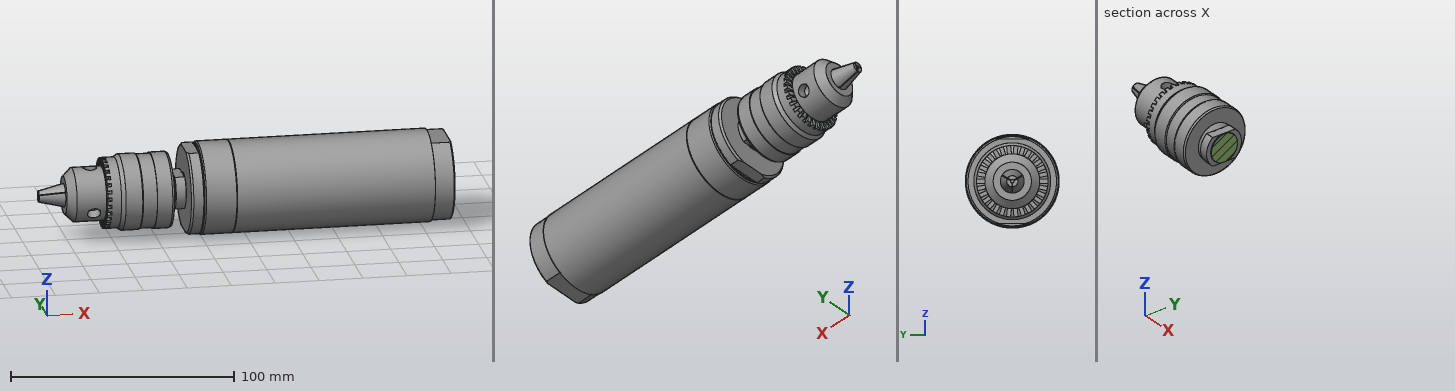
import cadquery as cq
import math

LENGTH = 186.0
NOSE_X = 11.5
NOSE_CHAMFER_END = 15.5
TEETH_X = 28.8
RIM_END = 35.0
FRONT_BAND_X = 36.8
FRONT_BAND_END = 44.8
REAR_BAND_X = 51.2
CHUCK_END = 59.0
COLLAR_X = 61.0
COLLAR_END = 65.5
FLANGE_X = 66.0
GROOVE_X = 71.6
BODY_X = 72.2
SEAM_X = 86.7
CAP_X = 176.9

TIP_DIA = 5.0
JAW_BASE_DIA = 10.6
NOSE_FACE_DIA = 17.1
NOSE_DIA = 24.5
RIM_DIA = 32.0
BAND_DIA = 34.5
WAIST_DIA = 33.5
BOSS_DIA = 19.0
NECK_DIA = 14.9
COLLAR_DIA = 19.5
FLANGE_DIA = 41.5
BODY_DIA = 42.0
CAP_DIA = 41.5

BAND_CHAMFER = (BAND_DIA - WAIST_DIA) / 2
CHUCK_REAR_CHAMFER = 1.0
FLANGE_CHAMFER = 1.0
END_CHAMFER = 0.5
GROOVE_DEPTH = 0.7
SEAM_WIDTH = 0.4
SEAM_DEPTH = 0.2

COLLAR_FLATS = 14.9
FLANGE_FLATS = 38.0
CAP_FLATS = 36.0

JAW_COUNT = 3
JAW_BORE_DIA = 1.5
JAW_BORE_DEPTH = NOSE_X
SPLIT_WIDTH = 0.4
KEY_HOLE_COUNT = 3
KEY_HOLE_DIA = 6.0
KEY_HOLE_X = 23.5
KEY_HOLE_DEPTH = 4.6
KEY_HOLE_TIP_ANGLE = 118
TOOTH_COUNT = 30
TOOTH_GAP_INNER = 0.7
TOOTH_GAP_OUTER = 1.5
TOOTH_INNER_DEPTH = 0.4
TOOTH_OUTER_DEPTH = 1.9


def turned_body():
    """Revolve the whole tool about X from its half outline."""
    groove_r = FLANGE_DIA / 2 - GROOVE_DEPTH
    body_r = BODY_DIA / 2
    outline = [
        (0, 0),
        (0, TIP_DIA / 2),
        (NOSE_X, JAW_BASE_DIA / 2),
        (NOSE_X, NOSE_FACE_DIA / 2),
        (NOSE_CHAMFER_END, NOSE_DIA / 2),
        (TEETH_X, NOSE_DIA / 2),
        (TEETH_X, RIM_DIA / 2),
        (RIM_END, RIM_DIA / 2),
        (FRONT_BAND_X, BAND_DIA / 2),
        (FRONT_BAND_END - BAND_CHAMFER, BAND_DIA / 2),
        (FRONT_BAND_END, WAIST_DIA / 2),
        (REAR_BAND_X, WAIST_DIA / 2),
        (REAR_BAND_X, BAND_DIA / 2),
        (CHUCK_END - CHUCK_REAR_CHAMFER, BAND_DIA / 2),
        (CHUCK_END, WAIST_DIA / 2),
        (CHUCK_END, BOSS_DIA / 2),
        (COLLAR_X, NECK_DIA / 2),
        (COLLAR_X, COLLAR_DIA / 2),
        (COLLAR_END, COLLAR_DIA / 2),
        (COLLAR_END, NECK_DIA / 2),
        (FLANGE_X, NECK_DIA / 2),
        (FLANGE_X, FLANGE_DIA / 2 - FLANGE_CHAMFER),
        (FLANGE_X + FLANGE_CHAMFER, FLANGE_DIA / 2),
        (GROOVE_X, FLANGE_DIA / 2),
        (GROOVE_X, groove_r),
        (BODY_X, groove_r),
        (BODY_X, body_r - END_CHAMFER),
        (BODY_X + END_CHAMFER, body_r),
        (SEAM_X - SEAM_WIDTH / 2, body_r),
        (SEAM_X, body_r - SEAM_DEPTH),
        (SEAM_X + SEAM_WIDTH / 2, body_r),
        (CAP_X, body_r),
        (CAP_X, CAP_DIA / 2),
        (LENGTH - END_CHAMFER, CAP_DIA / 2),
        (LENGTH, CAP_DIA / 2 - END_CHAMFER),
        (LENGTH, 0),
    ]
    return cq.Workplane("XY").polyline(outline).close().revolve(360, (0, 0), (1, 0))


def flats_cutter(x_start, x_end, across):
    """Two blocks that leave parallel flats facing +Z and -Z."""
    block = cq.Workplane("XY").box(x_end - x_start, BODY_DIA, BODY_DIA)
    block = block.translate(((x_start + x_end) / 2, 0, (across + BODY_DIA) / 2))
    return block.union(block.mirror("XY"))


def around_axis(shape, count):
    """Copies of a shape pointing along +Z, evenly spaced about the X axis."""
    copies = cq.Workplane("XY")
    for index in range(count):
        copies.add(shape.rotate((0, 0, 0), (1, 0, 0), index * 360 / count))
    return copies


def cut_each(part, cutters):
    """Cut the cutters one after another, since neighbours may overlap."""
    for cutter in cutters.vals():
        part = part.cut(cq.Workplane(cutter))
    return part


def jaw_split():
    """Thin slit on the -Z side between two neighbouring jaws."""
    height = JAW_BASE_DIA / 2
    slit = cq.Workplane("XY").box(NOSE_X, SPLIT_WIDTH, height, centered=(False, True, False))
    return slit.translate((0, 0, -height))


def key_hole():
    """Blind drilled hole with a conical bottom, opening toward +Z."""
    radius = KEY_HOLE_DIA / 2
    top = NOSE_DIA / 2
    shoulder = top - KEY_HOLE_DEPTH
    tip = shoulder - radius / math.tan(math.radians(KEY_HOLE_TIP_ANGLE / 2))
    profile = [(0, tip), (radius, shoulder), (radius, top), (0, top)]
    hole = cq.Workplane("XZ").polyline(profile).close().revolve(360, (0, 0), (0, 1))
    return hole.translate((KEY_HOLE_X, 0, 0))


def tooth_gap():
    """Radial gap between two rim teeth at the +Z side, growing wider and deeper outward."""
    height = RIM_DIA / 2 - NOSE_DIA / 2
    return (
        cq.Workplane("XY", origin=(TEETH_X, 0, NOSE_DIA / 2))
        .rect(2 * TOOTH_INNER_DEPTH, TOOTH_GAP_INNER)
        .workplane(offset=height)
        .rect(2 * TOOTH_OUTER_DEPTH, TOOTH_GAP_OUTER)
        .loft()
    )


result = turned_body()
result = result.cut(flats_cutter(COLLAR_X, COLLAR_END, COLLAR_FLATS))
result = result.cut(flats_cutter(FLANGE_X, GROOVE_X, FLANGE_FLATS))
result = result.cut(flats_cutter(CAP_X, LENGTH, CAP_FLATS))
result = cut_each(result, around_axis(key_hole(), KEY_HOLE_COUNT))
result = cut_each(result, around_axis(tooth_gap(), TOOTH_COUNT))
result = cut_each(result, around_axis(jaw_split(), JAW_COUNT))
jaw_bore = cq.Workplane("YZ").circle(JAW_BORE_DIA / 2).extrude(JAW_BORE_DEPTH)
result = result.cut(jaw_bore)